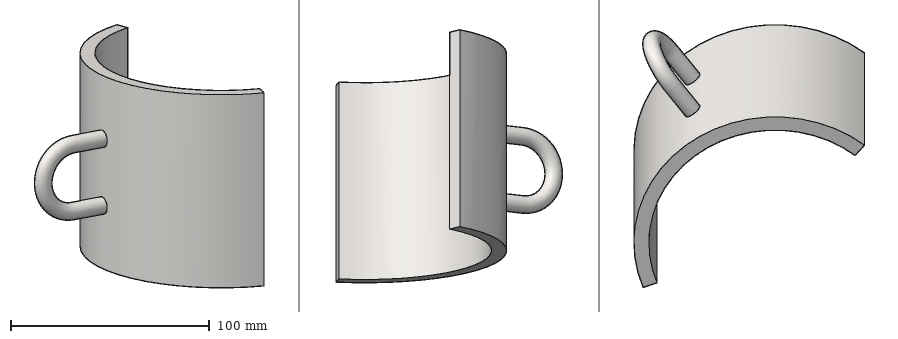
import cadquery as cq
import math

overall_width = 137.4
height = 101.7
wall = 7.5
end_angle = 15.0
outer_radius = overall_width / 2 / math.cos(math.radians(end_angle))
inner_radius = outer_radius - wall

rod_diameter = 8.9
bend_radius = 17.6
leg_length = 17.6
leg_embed = wall / 2


def polar_point(radius, angle):
    """Point in the XY plane at the given angle in degrees."""
    turn = math.radians(angle)
    return (radius * math.cos(turn), radius * math.sin(turn))


def make_shell():
    left = 180 + end_angle
    right = 360 - end_angle
    return (
        cq.Workplane("XY")
        .moveTo(*polar_point(outer_radius, left))
        .threePointArc((0, -outer_radius), polar_point(outer_radius, right))
        .lineTo(*polar_point(inner_radius, right))
        .threePointArc((0, -inner_radius), polar_point(inner_radius, left))
        .close()
        .extrude(height / 2, both=True)
    )


def make_handle():
    leg_start = -outer_radius + leg_embed
    bend_start = -outer_radius - leg_length
    path = (
        cq.Workplane("YZ")
        .moveTo(leg_start, bend_radius)
        .lineTo(bend_start, bend_radius)
        .threePointArc((bend_start - bend_radius, 0), (bend_start, -bend_radius))
        .lineTo(leg_start, -bend_radius)
    )
    return (
        cq.Workplane("XZ", origin=(0, leg_start, bend_radius))
        .circle(rod_diameter / 2)
        .sweep(path)
    )


result = make_shell().union(make_handle())